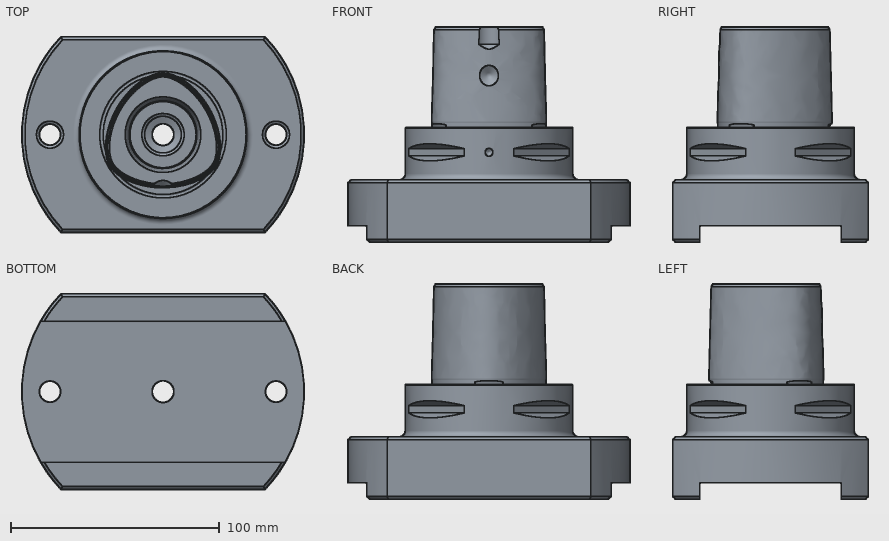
import cadquery as cq
import math

total_height = 103.0
base_top = 30.0
collar_top = 55.0
neck_top = 57.0
taper_bottom = 57.8

base_diameter = 135.0
base_width = 93.5
base_chamfer = 1.5
channel_width = 67.5
channel_depth = 8.0
channel_corner_radius = 0.7
bolt_spacing = 108.0
bolt_diameter = 10.0
bolt_sink_diameter = 13.0
bolt_sink_angle = 120

collar_diameter = 80.2
collar_fillet = 2.8
collar_chamfer = 0.4
collar_mid = 43.0
relief_radius = 29.4
relief_tube_radius = 1.1
relief_rise = 0.7

notch_count = 4
notch_floor_distance = 35.5
notch_floor_height = 3.5
notch_side_angle = 27

lobe_count = 3
shank_mean_diameter = 55.0
shank_taper = 1 / 20
lobe_eccentricity = 2.0
outline_points = 36
neck_step = 0.1
tip_chamfer_width = 0.8
tip_chamfer_height = 1.5

bore_rim_radius = 18.1
bore_mouth_radius = 17.4
bore_rim_depth = 1.6
bore_land_radius = 16.2
bore_land_start_depth = 7.0
bore_land_end_depth = 8.0
groove_radius = 18.6
groove_start_depth = 10.7
groove_corner_radius = 2.3
clearance_radius = 15.8
clearance_start_depth = 16.7
clearance_floor_depth = 51.3
pilot_rim_radius = 10.1
pilot_radius = 8.8
pilot_depth = 72.9
through_radius = 5.1
pilot_rim_slope = math.tan(math.radians(30))
pilot_floor_slope = math.tan(math.radians(20))

key_groove_radius = 6.1
key_groove_center = 28.0
key_groove_floor = 94.6
key_groove_point_height = 5.1
shank_dimple_radius = 4.9
shank_dimple_height = 79.9
collar_dimple_radius = 1.9
dimple_slope = math.tan(math.radians(31))


def make_base():
    """Two-flat disc with chamfered rims, channel and countersunk bolt holes."""
    disc = cq.Workplane("XY").circle(base_diameter / 2).extrude(base_top)
    flats = cq.Workplane("XY").box(base_diameter, base_width, base_top, centered=(True, True, False))
    base = disc.intersect(flats)
    base = base.faces(">Z or <Z").chamfer(base_chamfer)

    channel = (
        cq.Workplane("XY")
        .box(base_diameter, channel_width, 2 * channel_depth)
        .edges("|X")
        .fillet(channel_corner_radius)
    )
    base = base.cut(channel)
    return (
        base.faces(">Z")
        .workplane(origin=(0, 0, base_top))
        .pushPoints([(-bolt_spacing / 2, 0), (bolt_spacing / 2, 0)])
        .cskHole(bolt_diameter, bolt_sink_diameter, bolt_sink_angle)
    )


def make_collar():
    """Collar with a concave fillet spreading onto the base plate."""
    radius = collar_diameter / 2
    fillet_start = base_top + collar_fillet
    fillet_outer = radius + collar_fillet
    arc_offset = collar_fillet * (1 - math.sqrt(0.5))
    root = base_top - base_chamfer
    return (
        cq.Workplane("XZ")
        .moveTo(0, root)
        .lineTo(fillet_outer, root)
        .lineTo(fillet_outer, base_top)
        .threePointArc((radius + arc_offset, base_top + arc_offset), (radius, fillet_start))
        .lineTo(radius, collar_top - collar_chamfer)
        .lineTo(radius - collar_chamfer, collar_top)
        .lineTo(0, collar_top)
        .close()
        .revolve(360, (0, 0, 0), (0, 1, 0))
    )


def make_notch(angle):
    """Straight notch with sloping sides, tangent to the collar at the given angle."""
    depth = collar_diameter / 2 - notch_floor_distance
    half_floor = notch_floor_height / 2
    half_mouth = half_floor + depth * math.tan(math.radians(notch_side_angle))
    mouth_distance = collar_diameter / 2
    return (
        cq.Workplane("XZ")
        .polyline([
            (notch_floor_distance, collar_mid - half_floor),
            (mouth_distance, collar_mid - half_mouth),
            (mouth_distance, collar_mid + half_mouth),
            (notch_floor_distance, collar_mid + half_floor),
        ])
        .close()
        .extrude(collar_diameter / 2, both=True)
        .rotate((0, 0, 0), (0, 0, 1), angle)
    )


def lobed_wire(mean_diameter, height):
    """Closed outline of constant width with one lobe pointing along +Y."""
    points = []
    for step in range(outline_points):
        angle = 2 * math.pi * step / outline_points - math.pi / 2
        phase = lobe_count * (angle - math.pi / 2)
        reach = mean_diameter / 2 + lobe_eccentricity * math.cos(phase)
        slide = -lobe_count * lobe_eccentricity * math.sin(phase)
        x = reach * math.cos(angle) - slide * math.sin(angle)
        y = reach * math.sin(angle) + slide * math.cos(angle)
        points.append(cq.Vector(x, y, height))
    return cq.Wire.assembleEdges([cq.Edge.makeSpline(points, periodic=True)])


def make_shank():
    """Neck, tapered body and chamfered tip stacked from lobed outlines."""
    chamfer_start = total_height - tip_chamfer_height
    neck_diameter = shank_mean_diameter - 2 * neck_step
    body_end_diameter = shank_mean_diameter - shank_taper * (chamfer_start - taper_bottom)
    tip_diameter = body_end_diameter - 2 * tip_chamfer_width
    sections = [
        (neck_diameter, collar_mid),
        (neck_diameter, neck_top),
        (shank_mean_diameter, taper_bottom),
        (body_end_diameter, chamfer_start),
        (tip_diameter, total_height),
    ]
    wires = [lobed_wire(diameter, height) for diameter, height in sections]
    return cq.Workplane(obj=cq.Solid.makeLoft(wires, True))


def make_bore():
    """Stepped bore from the shank tip through the bottom."""
    clearance_floor = total_height - clearance_floor_depth
    pilot_start = clearance_floor - (pilot_rim_radius - pilot_radius) * pilot_rim_slope
    pilot_end = total_height - pilot_depth
    pilot_floor = pilot_end - (pilot_radius - through_radius) * pilot_floor_slope

    half_turn = math.radians(45 / 2)
    corner_center = groove_radius - groove_corner_radius
    cone_radius = corner_center + groove_corner_radius * math.cos(2 * half_turn)
    cone_top = total_height - clearance_start_depth + cone_radius - clearance_radius
    corner_height = cone_top + groove_corner_radius * math.sin(2 * half_turn)
    corner_middle = (
        corner_center + groove_corner_radius * math.cos(half_turn),
        corner_height - groove_corner_radius * math.sin(half_turn),
    )
    return (
        cq.Workplane("XZ")
        .polyline([
            (0, total_height),
            (0, 0),
            (through_radius, 0),
            (through_radius, pilot_floor),
            (pilot_radius, pilot_end),
            (pilot_radius, pilot_start),
            (pilot_rim_radius, clearance_floor),
            (clearance_radius, clearance_floor),
            (clearance_radius, total_height - clearance_start_depth),
            (cone_radius, cone_top),
        ])
        .threePointArc(corner_middle, (groove_radius, corner_height))
        .lineTo(groove_radius, total_height - groove_start_depth)
        .lineTo(bore_land_radius, total_height - bore_land_end_depth)
        .lineTo(bore_land_radius, total_height - bore_land_start_depth)
        .lineTo(bore_mouth_radius, total_height - bore_rim_depth)
        .lineTo(bore_rim_radius, total_height)
        .close()
        .revolve(360, (0, 0, 0), (0, 1, 0))
    )


def make_relief():
    """Ring-shaped groove around the foot of the shank."""
    return (
        cq.Workplane("XZ")
        .center(relief_radius, collar_top + relief_rise)
        .circle(relief_tube_radius)
        .revolve(360, (-relief_radius, 0, 0), (-relief_radius, 1, 0))
    )


def make_key_groove():
    """Upright groove with a conical floor, open at the shank tip."""
    return (
        cq.Workplane("XZ")
        .polyline([
            (0, key_groove_floor - key_groove_point_height),
            (key_groove_radius, key_groove_floor),
            (key_groove_radius, total_height),
            (0, total_height),
        ])
        .close()
        .revolve(360, (0, 0, 0), (0, 1, 0))
        .translate((0, -key_groove_center, 0))
    )


def make_dimple(radius, surface_distance, height):
    """Conical dimple entering from -Y, as wide as its radius says at the surface distance."""
    mouth_radius = 2 * radius
    apex = radius * dimple_slope - surface_distance
    length = mouth_radius * dimple_slope
    mouth = cq.Vector(0, apex - length, height)
    return cq.Workplane(obj=cq.Solid.makeCone(mouth_radius, 0, length, mouth, cq.Vector(0, 1, 0)))


shank_flat_distance = (
    (shank_mean_diameter - shank_taper * (shank_dimple_height - taper_bottom)) / 2 - lobe_eccentricity
)

result = make_base().union(make_collar())
for index in range(notch_count):
    result = result.cut(make_notch((index + 0.5) * 360 / notch_count))
result = (
    result.union(make_shank())
    .cut(make_relief())
    .cut(make_bore())
    .cut(make_key_groove())
    .cut(make_dimple(shank_dimple_radius, shank_flat_distance, shank_dimple_height))
    .cut(make_dimple(collar_dimple_radius, collar_diameter / 2, collar_mid))
)